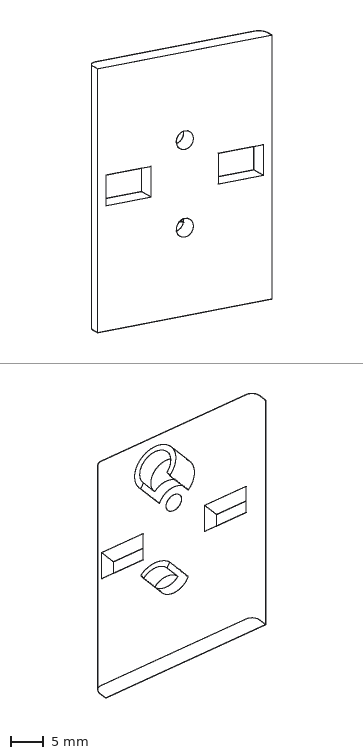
import cadquery as cq
import math

plate_thickness = 3.0
plate_width = 31.0
plate_height = 43.0
edge_round_depth = 1.5
edge_round_width = 1.38

window_width = 8.0
window_height = 5.0
window_offset_y = 9.98
window_center_z = 1.4

screw_hole_diameter = 3.0
screw_hole_offset_z = 7.15
screw_head_radius = 3.0

boss_height = 4.7
boss_floor_height = 1.9
boss_radius = 4.0
boss_bore_radius = 3.0
boss_offset_z = screw_hole_offset_z + boss_radius


def cylinder_along_x(radius, center_z, start_x, end_x):
    """Cylinder parallel to X, centred on Y = 0."""
    return (
        cq.Workplane("YZ", origin=(start_x, 0, center_z))
        .circle(radius)
        .extrude(end_x - start_x)
    )


def make_plate_blank():
    """Plate with both long outer edges rounded by an arc."""
    side_y = plate_width / 2
    face_y = side_y - edge_round_width
    arc_radius = (edge_round_depth**2 + edge_round_width**2) / (2 * edge_round_width)
    half_angle = math.asin(edge_round_depth / arc_radius) / 2
    arc_mid_x = edge_round_depth - arc_radius * math.sin(half_angle)
    arc_mid_y = side_y - arc_radius * (1 - math.cos(half_angle))
    return (
        cq.Workplane("XY", origin=(0, 0, -plate_height / 2))
        .moveTo(0, -face_y)
        .lineTo(0, face_y)
        .threePointArc((arc_mid_x, arc_mid_y), (edge_round_depth, side_y))
        .lineTo(plate_thickness, side_y)
        .lineTo(plate_thickness, -side_y)
        .lineTo(edge_round_depth, -side_y)
        .threePointArc((arc_mid_x, -arc_mid_y), (0, -face_y))
        .close()
        .extrude(plate_height)
    )


def make_plate():
    """Plate with two windows and two screw holes."""
    plate = make_plate_blank()
    for side in (-1, 1):
        window = cq.Workplane("XY").box(
            plate_thickness, window_width, window_height, centered=(False, True, True)
        )
        plate = plate.cut(window.translate((0, side * window_offset_y, window_center_z)))
        plate = plate.cut(
            cylinder_along_x(
                screw_hole_diameter / 2, side * screw_hole_offset_z, 0, plate_thickness
            )
        )
    return plate


def make_cup(center_z):
    """Round cup with a solid floor against the plate and its mouth towards -X."""
    cup = cylinder_along_x(boss_radius, center_z, -boss_height, 0)
    bore = cylinder_along_x(boss_bore_radius, center_z, -boss_height, -boss_floor_height)
    return cup.cut(bore)


def make_screw_head_space(center_z):
    """Cylinder around a screw hole, as long as the bosses are high."""
    return cylinder_along_x(screw_head_radius, center_z, -boss_height, 0)


def make_upper_boss():
    """Cup with the space for the upper screw head cut away."""
    return make_cup(boss_offset_z).cut(make_screw_head_space(screw_hole_offset_z))


def make_lower_boss():
    """Only the part of a cup that lies inside the circle of the lower screw head."""
    return make_cup(-boss_offset_z).intersect(make_screw_head_space(-screw_hole_offset_z))


plate = make_plate()
upper_boss = make_upper_boss()
lower_boss = make_lower_boss()

result = cq.Compound.makeCompound([plate.val(), upper_boss.val(), lower_boss.val()])